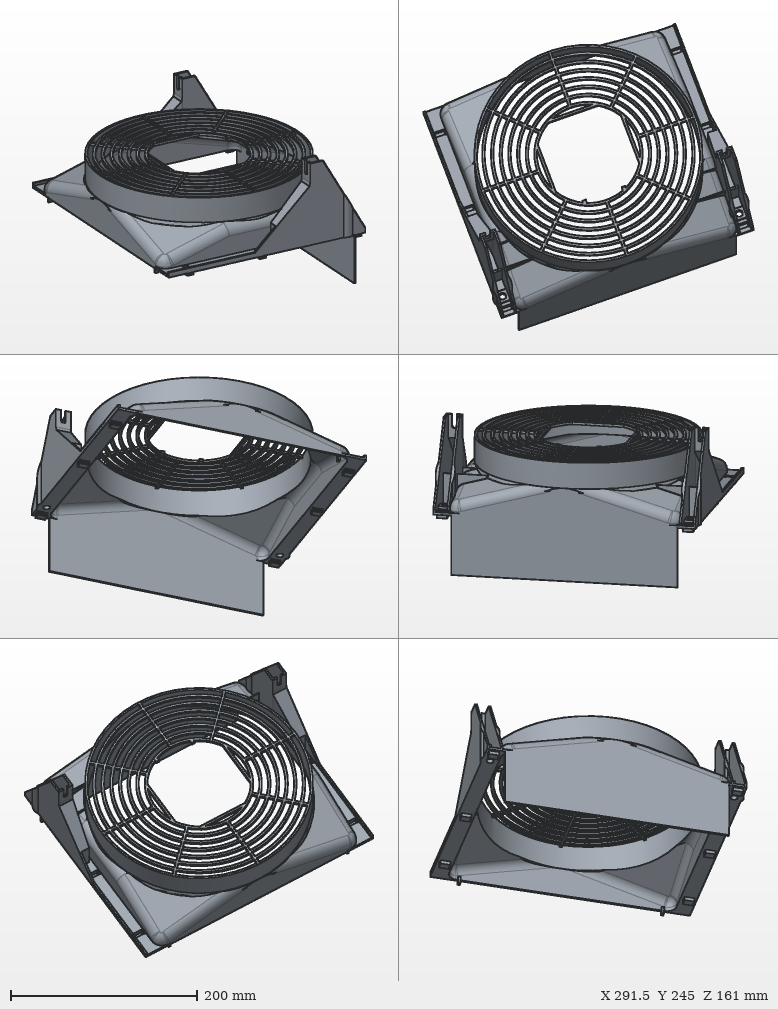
import cadquery as cq
import math

OVERALL_WIDTH = 291.5
WALL = 2.3
DEPTH = 245.0
FLANGE_WIDTH = 288.0
FLANGE_THICK = 3.0
RIM_HEIGHT = 5.8
HOOD_WIDTH = 256.5

DUCT_RADIUS = DEPTH / 2
DUCT_BORE = DUCT_RADIUS - 2.5
DUCT_BOTTOM = 37.3
DUCT_TOP = 66.2
COLLAR_HEIGHT = 4.5
COLLAR_FLARE = 1.7

CORNER_SLOPE = 0.28
SLOPE_TOP = DUCT_BOTTOM - COLLAR_HEIGHT
HOOD_FILLET = 12.2

GUARD_THICK = 3.0
BAR_WIDTH = 3.0
GUARD_RINGS = 7
RING_OUTERMOST = 112.8
RING_PITCH = 9.3
SPOKES = 8
WINDOW_HALF = 47.5
TAB_X = 22.5
TAB_WIDTH = 4.0

PLATE_WIDTH = 248.5
PLATE_DROP = 66.0

BRACKET_OUTER = FLANGE_WIDTH / 2
BRACKET_WIDTH = 17.5
BRACKET_INNER = BRACKET_OUTER - BRACKET_WIDTH
BRACKET_X = BRACKET_OUTER - BRACKET_WIDTH / 2
BRACKET_TOP = 95.0
BRACKET_BACK_TOP = 70.0
BRACKET_FRONT = 53.7
SHOULDER_HEIGHT = 68.8
SHOULDER_BEVEL = 4.0
SHOULDER_STEP = 1.0
BRACKET_TOE = -15.2
BRACKET_FOOT_Y = 11.7
SLOT_WIDTH = 5.2
SLOT_BOTTOM = 79.5
RIB_Y = (81.0, BRACKET_FRONT)
RIB_TOP = 36.0
RIB_THICK = 1.0
FOOT_TAPER = 5.2
FOOT_CAVITY_TOP = 29.2

BOSS_Y = 101.2
BOSS_RADIUS = OVERALL_WIDTH / 2 - BRACKET_X
BOSS_FLOOR = 5.8
BOSS_PAD = 13.5
SCREW_HOLE = 7.5

HOOK_Y = (119.5, 0.5, -89.5)
HOOK_WIDTH = 11.0
HOOK_DROP = 4.5
HOOK_REACH = 8.0
HOOK_THICK = 2.0
PEG_X = 112.8
PEG_Y = -119.3
PEG_DEPTH = 4.0
PEG_DROP = 5.8


def block(x0, x1, y0, y1, z0, z1):
    """Axis-aligned box from its limits."""
    return cq.Workplane("XY").box(x1 - x0, y1 - y0, z1 - z0, centered=False).translate((x0, y0, z0))


def disc(radius, z0, z1):
    return cq.Workplane("XY").workplane(offset=z0).circle(radius).extrude(z1 - z0)


def both_sides(half):
    return half.union(half.mirror("YZ"))


def hood_body(inset):
    """Solid hood form, moved inwards by inset; inset 0 is the outside."""
    half_x = HOOD_WIDTH / 2 - inset
    half_y = DEPTH / 2 - inset
    slope_per_diagonal = CORNER_SLOPE * math.sqrt(2)
    peak = SLOPE_TOP + slope_per_diagonal * DUCT_RADIUS - inset
    reach = HOOD_WIDTH

    diagonal = cq.Plane(origin=(0, 0, 0), xDir=(1, 1, 0), normal=(1, -1, 0))
    above = (
        cq.Workplane(diagonal)
        .polyline([(0, peak), (reach, peak - slope_per_diagonal * reach), (reach, peak)])
        .close()
        .extrude(reach, both=True)
    )
    quarter = block(0, half_x, 0, half_y, 0, peak).cut(above)
    quarter = quarter.edges(cq.NearestToPointSelector((half_x, half_y, 0))).fillet(HOOD_FILLET - inset)
    slope_edges = [
        edge for edge in quarter.faces(">(1, 1, 4)").edges().vals()
        if edge.Center().x > half_x - HOOD_FILLET or edge.Center().y > half_y - HOOD_FILLET
    ]
    quarter = cq.Workplane(quarter.val().fillet(HOOD_FILLET - inset, slope_edges))

    half = quarter.union(quarter.mirror("YZ"))
    body = half.union(half.mirror("XZ"))

    crown = block(-half_x, half_x, -half_y, half_y, 0, DUCT_BOTTOM - inset)
    crown = crown.edges("|Y and >Z").fillet(HOOD_FILLET - inset)
    return body.intersect(crown)


def collar():
    """Flared ring joining the hood to the duct, trimmed to the hood's outline."""
    flare = (
        cq.Workplane("XY").workplane(offset=SLOPE_TOP).circle(DUCT_RADIUS + COLLAR_FLARE)
        .workplane(offset=COLLAR_HEIGHT).circle(DUCT_RADIUS).loft()
    )
    half_x = HOOD_WIDTH / 2
    half_y = DEPTH / 2
    return flare.intersect(block(-half_x, half_x, -half_y, half_y, 0, DUCT_TOP))


def guard():
    """Concentric rings, spokes and the squared opening across the duct's mouth."""
    base = DUCT_TOP - GUARD_THICK
    half_bar = BAR_WIDTH / 2
    radii = [RING_OUTERMOST - i * RING_PITCH for i in range(GUARD_RINGS)]
    inner = radii[-1] - half_bar

    grid = block(inner, DUCT_BORE + half_bar, -half_bar, half_bar, base, DUCT_TOP)
    spoke = grid
    for i in range(1, SPOKES):
        grid = grid.union(spoke.rotate((0, 0, 0), (0, 0, 1), i * 360 / SPOKES))
    for radius in radii:
        ring = disc(radius + half_bar, base, DUCT_TOP).cut(disc(radius - half_bar, base, DUCT_TOP))
        grid = grid.union(ring)

    edge_bar = block(WINDOW_HALF, WINDOW_HALF + BAR_WIDTH, -inner, inner, base, DUCT_TOP)
    bars = edge_bar
    for angle in (180, 270):
        bars = bars.union(edge_bar.rotate((0, 0, 0), (0, 0, 1), angle))
    for x in (-TAB_X, TAB_X):
        bars = bars.union(block(x - TAB_WIDTH / 2, x + TAB_WIDTH / 2, WINDOW_HALF, inner, base, DUCT_TOP))
    return grid.union(bars.intersect(disc(radii[-1], base, DUCT_TOP)))


def flange_half():
    """Right half of the flat flange with its raised outer rim."""
    flange = block(0, BRACKET_OUTER, -DEPTH / 2, DEPTH / 2, 0, FLANGE_THICK)
    rim = block(BRACKET_OUTER - WALL, BRACKET_OUTER, -DEPTH / 2, DEPTH / 2, 0, RIM_HEIGHT)
    return flange.union(rim)


def side_profile(points, x0, x1):
    """Extrude a Y-Z outline from x0 to x1."""
    return cq.Workplane("YZ").workplane(offset=x0).polyline(points).close().extrude(x1 - x0)


def bracket():
    """Right bracket: a channel open at the back, with a sloping slotted front."""
    back = DEPTH / 2
    outline = [
        (back, 0),
        (back, RIM_HEIGHT),
        (BRACKET_BACK_TOP, BRACKET_TOP),
        (BRACKET_FRONT, BRACKET_TOP),
        (BRACKET_FRONT, SHOULDER_HEIGHT + SHOULDER_BEVEL),
        (BRACKET_FRONT - SHOULDER_STEP, SHOULDER_HEIGHT),
        (BRACKET_TOE, RIM_HEIGHT),
        (BRACKET_TOE, 0),
    ]
    envelope = side_profile(outline, BRACKET_OUTER - 2 * BOSS_RADIUS, BRACKET_OUTER + BOSS_RADIUS)

    plan = (
        cq.Workplane("XY")
        .polyline([
            (BRACKET_OUTER, back),
            (BRACKET_INNER, back),
            (BRACKET_INNER, BRACKET_FRONT),
            (BRACKET_INNER + FOOT_TAPER, BRACKET_FOOT_Y),
            (BRACKET_OUTER, BRACKET_FOOT_Y),
        ])
        .close()
        .extrude(BRACKET_TOP)
    )
    cavity_outline = [
        (back, FLANGE_THICK),
        (back, BRACKET_TOP),
        (BRACKET_FRONT + WALL, BRACKET_TOP),
        (BRACKET_FRONT + WALL, SHOULDER_HEIGHT),
        (BRACKET_FOOT_Y + WALL, FOOT_CAVITY_TOP),
        (BRACKET_FOOT_Y + WALL, FLANGE_THICK),
    ]
    cavity = side_profile(cavity_outline, BRACKET_INNER, BRACKET_OUTER - WALL).intersect(
        plan.translate((WALL, 0, 0))
    )
    rear_rib = block(BRACKET_INNER, BRACKET_OUTER, RIB_Y[0] - WALL / 2, RIB_Y[0] + WALL / 2, 0, RIB_TOP)
    outer_plate = side_profile(outline, BRACKET_OUTER - WALL, BRACKET_OUTER)
    channel = plan.intersect(envelope).cut(cavity).union(rear_rib).union(outer_plate)

    slot_end = SLOT_BOTTOM + SLOT_WIDTH / 2
    slot_y = (BRACKET_FRONT - WALL, BRACKET_FRONT + 2 * WALL)
    slot = block(BRACKET_X - SLOT_WIDTH / 2, BRACKET_X + SLOT_WIDTH / 2, *slot_y, slot_end, BRACKET_TOP)
    slot_round = (
        cq.Workplane("XZ", origin=(BRACKET_X, slot_y[1], slot_end))
        .circle(SLOT_WIDTH / 2).extrude(slot_y[1] - slot_y[0])
    )
    channel = channel.cut(slot).cut(slot_round)

    tube = disc(BOSS_RADIUS, 0, BRACKET_TOP).cut(disc(BOSS_RADIUS - WALL, BOSS_FLOOR, BRACKET_TOP))
    boss = tube.translate((BRACKET_X, BOSS_Y, 0)).intersect(envelope).cut(cavity)
    half_pad = BOSS_PAD / 2
    pad = block(BRACKET_INNER, BRACKET_OUTER, BOSS_Y - half_pad, BOSS_Y + half_pad, 0, BOSS_FLOOR)
    return channel.union(boss).union(pad)


def hook(y):
    """Snap hook below the flange, hanging from the rear edge of its window."""
    x0 = BRACKET_X - HOOK_WIDTH / 2
    x1 = BRACKET_X + HOOK_WIDTH / 2
    leg = block(x0, x1, y - HOOK_THICK, y, -HOOK_DROP, FLANGE_THICK)
    foot = block(x0, x1, y - HOOK_REACH, y, -HOOK_DROP, HOOK_THICK - HOOK_DROP)
    return leg.union(foot)


def hook_window(y):
    x0 = BRACKET_X - HOOK_WIDTH / 2
    x1 = BRACKET_X + HOOK_WIDTH / 2
    return block(x0, x1, y - HOOK_REACH, y, 0, FLANGE_THICK)


body = hood_body(0).union(collar()).union(both_sides(flange_half()))
for rib_y in RIB_Y:
    rib_end = BRACKET_INNER + WALL
    body = body.union(block(-rib_end, rib_end, rib_y - RIB_THICK / 2, rib_y + RIB_THICK / 2, 0, RIB_TOP))
body = body.union(both_sides(bracket()))

body = body.union(disc(DUCT_RADIUS, SLOPE_TOP, DUCT_TOP))
body = body.cut(hood_body(WALL)).cut(disc(DUCT_BORE, 0, DUCT_TOP))
body = body.union(guard())

rear = DEPTH / 2
body = body.union(block(-PLATE_WIDTH / 2, PLATE_WIDTH / 2, rear - WALL, rear, -PLATE_DROP, FLANGE_THICK))

screw = disc(SCREW_HOLE / 2, 0, BOSS_FLOOR).translate((BRACKET_X, BOSS_Y, 0))
body = body.cut(both_sides(screw))
for hook_y in HOOK_Y:
    body = body.cut(both_sides(hook_window(hook_y)))
    body = body.union(both_sides(hook(hook_y)))
peg_x = (PEG_X - WALL / 2, PEG_X + WALL / 2)
peg_y = (PEG_Y - PEG_DEPTH / 2, PEG_Y + PEG_DEPTH / 2)
peg = block(*peg_x, *peg_y, -PEG_DROP, FLANGE_THICK)
result = body.union(both_sides(peg))